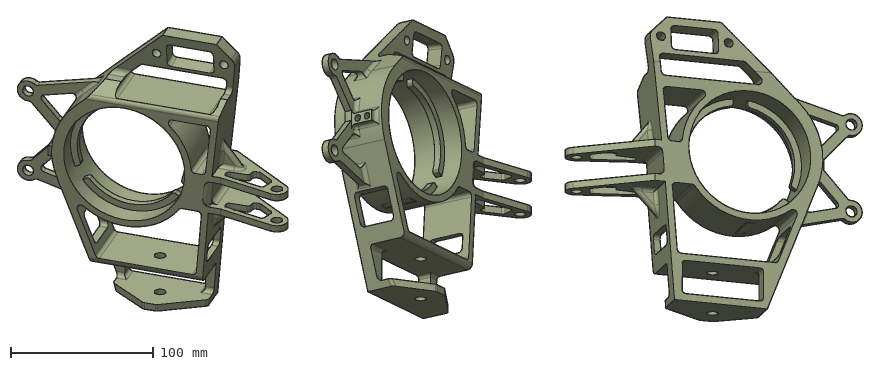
import cadquery as cq
import math


DEPTH = 40.0
TOP_Z = 94.6
HEIGHT = 209.0
BOTTOM_Z = TOP_Z - HEIGHT
BACK_R = 54.0
TOP_LEFT_X = 20.0
TOP_RIGHT_X = 60.1
BOTTOM_LEFT_X = -13.0
BOTTOM_RIGHT_X = 55.7
RIGHT_KNEE = (63.7, -12.9)
RIGHT_UPPER_SLOPE = 0.1024
TOP_CORNER_R = 8.0

TILT = math.radians(6.0)
TILT_START_Z = 59.8
PLATE_T = 12.0
SHOULDER_Y = -22.8
SHOULDER_Z = 55.8
SHOULDER_FRONT_Z = 49.3
SHOULDER_R = 4.0
FRONT_TOP_R = 3.3
BLOCK_BOTTOM_Z = -84.7
BLOCK_BOTTOM_R = 4.0
SPINE_T = 10.0
SPINE_TOP_R = 2.5
SPINE_FOOT_R = 3.5
FOOT_T = 5.3

BORE_R = 45.0
LIP_R = 40.0
LIP_FRONT_Y = -25.5
LIP_T = 5.0
LIP_SLOT_W = 11.0
LIP_SLOT_ANGLES = (90, 210, 330)
LIP_TIP_R = 2.0

MOUNT_X = 40.0
MOUNT_Z = 78.2
MOUNT_PITCH = 50.0
MOUNT_HOLE_D = 6.4
MOUNT_WINDOW_W = 34.8
MOUNT_WINDOW_H = 18.4
MOUNT_WINDOW_R = 3.0

WALL = 5.0
LEFT_WALL = 5.7
POCKET_R = 3.0
RING_R = 50.0
SHELF_Z = 50.3
SHELF_T = 8.2
UPPER_WINDOW_TOP_Z = 66.6
UPPER_WINDOW_TOP_X = 3.4
FOOT_WINDOW_X = (-10.0, 49.9)
FOOT_WINDOW_R = 2.5

EAR_T = 5.1
UPPER_EAR_TOP = 2.3
LOWER_EAR_TOP = -22.9
EAR_HOLE = (114.2, -42.0)
EAR_HOLE_D = 8.0
EAR_R = 7.98
EAR_ROOT_X = 58.0
EAR_REAR_X = 70.1
EAR_FRONT_X = 71.6
EAR_WINDOW = (
    (73.0, -30.2), (89.4, -29.7), (90.6, -23.6), (95.5, -23.6),
    (107.7, -32.6), (104.0, -43.2), (73.0, -35.8),
)
EAR_WINDOW_R = 2.3
EAR_ROOT_R = 4.0
FRONT_EDGE_R = 5.0

GUSSET_Y = -22.0
GUSSET_T = 6.0
GUSSET_H = 19.8
GUSSET_L = 17.8
GUSSET_EDGE_R = 2.95
GUSSET_ROOT_R = 2.9

ARM_EYE_X = -79.3
ARM_EYE_Z = 32.0
ARM_EYE_R = 8.0
ARM_HOLE_D = 8.0
ARM_BAND = 8.0
ARM_OUTER_ANGLE = 14.5
ARM_INNER_ANGLE = -47.5
ARM_OUTER_LENGTH = 62.0
ARM_INNER_LENGTH = 42.0
ARM_REAR_Y = -12.4
ARM_FRONT_Y = -17.6
ARM_NECK_R = 3.0
ARM_CROTCH_R = 2.5
ARM_WEB_X = -58.8
ARM_WEB_H = 7.8
ROOT_R = 3.0

BOSS_X = -58.4
BOSS_Z = -2.8
BOSS_W = 8.0
BOSS_FRONT_Y = -34.7
BOSS_HOLES_Y = (-22.8, -30.7)
BOSS_HOLE_D = 4.6
BOSS_HOLE_DEPTH = 10.0

SIDE_WINDOW_Y = (-34.0, -5.7)
SIDE_WINDOW_LEFT_Z = (-72.5, -49.4)
SIDE_WINDOW_RIGHT_Z = (-72.0, -57.3)
SIDE_WINDOW_R = 3.0
FOOT_SHOULDER_Y = -21.0
FOOT_NOSE_X = (14.0, 24.0)
FOOT_CORNER_R = 3.0
BOLT_XY = (20.4, -22.0)
BOLT_D = 8.0

OVER = 1.0
FAR = 150.0
EMBED = 4.0


def tangent_point(center, radius, point, side):
    """Touch point of a line from point to a circle; side +1 or -1 picks the line."""
    dx = point[0] - center[0]
    dy = point[1] - center[1]
    angle = math.atan2(dy, dx) + side * math.acos(radius / math.hypot(dx, dy))
    return (center[0] + radius * math.cos(angle), center[1] + radius * math.sin(angle))


LEFT_UPPER_TANGENT = tangent_point((0, 0), BACK_R, (TOP_LEFT_X, TOP_Z), 1)
LEFT_LOWER_TANGENT = tangent_point((0, 0), BACK_R, (BOTTOM_LEFT_X, BOTTOM_Z), -1)
LEFT_UPPER_SLOPE = (TOP_LEFT_X - LEFT_UPPER_TANGENT[0]) / (TOP_Z - LEFT_UPPER_TANGENT[1])
LEFT_LOWER_SLOPE = (BOTTOM_LEFT_X - LEFT_LOWER_TANGENT[0]) / (BOTTOM_Z - LEFT_LOWER_TANGENT[1])
RIGHT_LOWER_SLOPE = (RIGHT_KNEE[0] - BOTTOM_RIGHT_X) / (RIGHT_KNEE[1] - BOTTOM_Z)

FOOT_TOP_Z = BOTTOM_Z + FOOT_T
UPPER_EAR_BOTTOM = UPPER_EAR_TOP - EAR_T
LOWER_EAR_BOTTOM = LOWER_EAR_TOP - EAR_T


def left_x(z):
    """X of the lower left wall's outer face at height z."""
    return BOTTOM_LEFT_X + LEFT_LOWER_SLOPE * (z - BOTTOM_Z)


def right_x(z):
    """X of the right wall's outer face at height z."""
    slope = RIGHT_UPPER_SLOPE if z > RIGHT_KNEE[1] else RIGHT_LOWER_SLOPE
    return RIGHT_KNEE[0] + slope * (z - RIGHT_KNEE[1])


def nearest(x, y, z):
    return cq.NearestToPointSelector((x, y, z))


def prism_y(points, y_front=-DEPTH - OVER, y_rear=OVER):
    """Prism along Y from an outline of (x, z) points."""
    plane = cq.Workplane("XZ", origin=(0, y_rear, 0))
    return plane.polyline(points).close().extrude(y_rear - y_front)


def cylinder_y(radius, y_front=-DEPTH - OVER, y_rear=OVER, x=0.0, z=0.0):
    plane = cq.Workplane("XZ", origin=(x, y_rear, z))
    return plane.circle(radius).extrude(y_rear - y_front)


def box(x, y, z):
    """Box spanning the (low, high) pairs x, y and z."""
    block = cq.Workplane("XY").box(x[1] - x[0], y[1] - y[0], z[1] - z[0], centered=False)
    return block.translate((x[0], y[0], z[0]))


def blend(base, added, radius):
    """Join two solids and fillet the edges where their surfaces meet."""
    tolerance = 1e-3
    shells = [base.shells().val(), added.shells().val()]
    joined = base.union(added)

    def on_both(edge):
        middle = cq.Vertex.makeVertex(*edge.positionAt(0.5).toTuple())
        return all(shell.distance(middle) < tolerance for shell in shells)

    seam = [edge for edge in joined.edges().vals() if on_both(edge)]
    return joined.newObject(seam).fillet(radius)


def make_outline():
    """Body outline extruded over the full depth."""
    corner_drop = (right_x(TOP_Z) - TOP_RIGHT_X) / (1 + RIGHT_UPPER_SLOPE)
    corner_z = TOP_Z - corner_drop
    corner_x = right_x(corner_z)
    outline = (
        cq.Workplane("XZ")
        .moveTo(BOTTOM_LEFT_X, BOTTOM_Z)
        .lineTo(*LEFT_LOWER_TANGENT)
        .threePointArc((-BACK_R, 0), LEFT_UPPER_TANGENT)
        .lineTo(TOP_LEFT_X, TOP_Z)
        .lineTo(TOP_RIGHT_X, TOP_Z)
        .lineTo(corner_x, corner_z)
        .lineTo(*RIGHT_KNEE)
        .lineTo(BOTTOM_RIGHT_X, BOTTOM_Z)
        .close()
        .extrude(DEPTH)
    )
    return outline.edges(nearest(corner_x, -DEPTH / 2, corner_z)).fillet(TOP_CORNER_R)


def make_side_profile():
    """Side profile extruded across the whole width."""
    lean = math.tan(TILT)
    plate_depth = PLATE_T / math.cos(TILT)
    top_y = -lean * (TOP_Z - TILT_START_Z)
    plate_foot_y = -plate_depth - lean * (SHOULDER_Z - TILT_START_Z)
    profile = (
        cq.Workplane("YZ", origin=(-FAR, 0, 0))
        .polyline([
            (0, BOTTOM_Z), (0, TILT_START_Z), (top_y, TOP_Z), (top_y - plate_depth, TOP_Z),
            (plate_foot_y, SHOULDER_Z), (SHOULDER_Y, SHOULDER_Z), (-DEPTH, SHOULDER_FRONT_Z),
            (-DEPTH, BLOCK_BOTTOM_Z), (-SPINE_T, BLOCK_BOTTOM_Z), (-SPINE_T, FOOT_TOP_Z),
            (-DEPTH, FOOT_TOP_Z), (-DEPTH, BOTTOM_Z),
        ])
        .close()
        .extrude(2 * FAR)
    )
    rounded_corners = (
        (plate_foot_y, SHOULDER_Z, SHOULDER_R),
        (-DEPTH, SHOULDER_FRONT_Z, FRONT_TOP_R),
        (-DEPTH, BLOCK_BOTTOM_Z, BLOCK_BOTTOM_R),
        (-SPINE_T, BLOCK_BOTTOM_Z, SPINE_TOP_R),
        (-SPINE_T, FOOT_TOP_Z, SPINE_FOOT_R),
    )
    for y, z, radius in rounded_corners:
        profile = profile.edges(nearest(0, y, z)).fillet(radius)
    return profile


def make_arm():
    """Upper arm: an eye and two bands that spread from it into the body."""
    middle_y = (ARM_FRONT_Y + ARM_REAR_Y) / 2

    def band(angle, length):
        bar = box((0, length), (ARM_FRONT_Y, ARM_REAR_Y), (-ARM_BAND / 2, ARM_BAND / 2))
        return bar.rotate((0, 0, 0), (0, 1, 0), -angle).translate((ARM_EYE_X, 0, ARM_EYE_Z))

    def around_eye(distance, angle):
        turn = math.radians(angle)
        x = ARM_EYE_X + distance * math.cos(turn)
        z = ARM_EYE_Z + distance * math.sin(turn)
        return nearest(x, middle_y, z)

    arm = band(ARM_OUTER_ANGLE, ARM_OUTER_LENGTH).union(band(ARM_INNER_ANGLE, ARM_INNER_LENGTH))
    half_spread = (ARM_OUTER_ANGLE - ARM_INNER_ANGLE) / 2
    crotch = ARM_BAND / 2 / math.sin(math.radians(half_spread))
    crotch_edge = around_eye(crotch, ARM_INNER_ANGLE + half_spread)
    arm = arm.edges("|Y").edges(crotch_edge).fillet(ARM_CROTCH_R)

    arm = arm.union(cylinder_y(ARM_EYE_R, ARM_FRONT_Y, ARM_REAR_Y, ARM_EYE_X, ARM_EYE_Z))
    neck = math.degrees(math.asin(ARM_BAND / 2 / ARM_EYE_R))
    for angle in (ARM_OUTER_ANGLE + neck, ARM_INNER_ANGLE - neck):
        arm = arm.edges("|Y").edges(around_eye(ARM_EYE_R, angle)).fillet(ARM_NECK_R)
    return arm.cut(cylinder_y(ARM_HOLE_D / 2, x=ARM_EYE_X, z=ARM_EYE_Z))


def make_arms_and_boss():
    """Mirrored pair of arms, the web joining them and the boss in front of the web."""
    inside_x = -BACK_R + EMBED
    arm_y = (ARM_FRONT_Y, ARM_REAR_Y)
    web = box((ARM_WEB_X, inside_x), arm_y, (-ARM_WEB_H / 2, ARM_WEB_H / 2))
    arms = make_arm().union(make_arm().mirror("XY")).union(web)
    boss_z = (BOSS_Z - BOSS_W / 2, BOSS_Z + BOSS_W / 2)
    boss = box((BOSS_X, inside_x), (BOSS_FRONT_Y, ARM_FRONT_Y), boss_z)
    joined = arms.union(boss)
    for z in boss_z:
        corner = nearest((BOSS_X + inside_x) / 2, ARM_FRONT_Y, z)
        joined = joined.edges("|X").edges(corner).fillet(ROOT_R)
    return joined


def drill_boss(body):
    for y in BOSS_HOLES_Y:
        plane = cq.Workplane("YZ", origin=(BOSS_X, y, BOSS_Z))
        body = body.cut(plane.circle(BOSS_HOLE_D / 2).extrude(BOSS_HOLE_DEPTH))
    return body


def cut_pockets(body):
    """Pockets between the ring around the bore and the outer walls."""
    ring = cylinder_y(RING_R, -DEPTH - 2 * OVER, 2 * OVER)
    roof_z = SHELF_Z - SHELF_T
    floor_z = BLOCK_BOTTOM_Z + WALL
    upper = [
        (0, roof_z), (right_x(roof_z) - WALL, roof_z),
        (right_x(UPPER_EAR_TOP) - WALL, UPPER_EAR_TOP), (0, UPPER_EAR_TOP),
    ]
    left_offset = LEFT_WALL / math.cos(math.atan(LEFT_LOWER_SLOPE))
    lower = [
        (left_x(LOWER_EAR_BOTTOM) + left_offset, LOWER_EAR_BOTTOM),
        (right_x(LOWER_EAR_BOTTOM) - WALL, LOWER_EAR_BOTTOM),
        (right_x(floor_z) - WALL, floor_z),
        (left_x(floor_z) + left_offset, floor_z),
    ]
    for points in (upper, lower):
        body = body.cut(prism_y(points).cut(ring).edges("|Y").fillet(POCKET_R))
    return body


def cut_upper_window(body):
    """Opening through the top plate that leaves a flat shelf over the bore."""
    drop = UPPER_WINDOW_TOP_Z - SHELF_Z
    points = [
        (UPPER_WINDOW_TOP_X - LEFT_UPPER_SLOPE * drop, SHELF_Z),
        (UPPER_WINDOW_TOP_X, UPPER_WINDOW_TOP_Z),
        (right_x(UPPER_WINDOW_TOP_Z) - WALL, UPPER_WINDOW_TOP_Z),
        (right_x(SHELF_Z) - WALL, SHELF_Z),
    ]
    return body.cut(prism_y(points).edges("|Y").fillet(POCKET_R))


def cut_foot_window(body):
    depth = (-DEPTH - OVER, OVER)
    window = box(FOOT_WINDOW_X, depth, (FOOT_TOP_Z, BLOCK_BOTTOM_Z))
    return body.cut(window.edges("|Y").fillet(FOOT_WINDOW_R))


def cut_mount(body):
    """Window and two holes square to the leaning top plate."""
    front_y = -PLATE_T / math.cos(TILT) - math.tan(TILT) * (MOUNT_Z - TILT_START_Z)
    square_to_plate = (0, -math.cos(TILT), -math.sin(TILT))
    plane = cq.Plane(origin=(MOUNT_X, front_y, MOUNT_Z), xDir=(1, 0, 0), normal=square_to_plate)
    reach = PLATE_T + 2 * OVER
    window = cq.Sketch().rect(MOUNT_WINDOW_W, MOUNT_WINDOW_H).vertices().fillet(MOUNT_WINDOW_R)
    body = body.cut(cq.Workplane(plane).placeSketch(window).extrude(reach, both=True))
    holes = cq.Workplane(plane).rarray(MOUNT_PITCH, 1, 2, 1).circle(MOUNT_HOLE_D / 2)
    return body.cut(holes.extrude(reach, both=True))


def make_ear(top_z):
    """Pointed plate with a hole at its tip and a lightening window."""
    plane = cq.Workplane("XY", origin=(0, 0, top_z - EAR_T))
    rear_touch = tangent_point(EAR_HOLE, EAR_R, (EAR_REAR_X, 0), -1)
    front_touch = tangent_point(EAR_HOLE, EAR_R, (EAR_FRONT_X, -DEPTH), 1)
    ear = (
        plane.moveTo(EAR_ROOT_X, 0)
        .lineTo(EAR_REAR_X, 0)
        .lineTo(*rear_touch)
        .threePointArc((EAR_HOLE[0] + EAR_R, EAR_HOLE[1]), front_touch)
        .lineTo(EAR_FRONT_X, -DEPTH)
        .lineTo(EAR_ROOT_X, -DEPTH)
        .close()
        .extrude(EAR_T)
    )
    window = plane.polyline(EAR_WINDOW).close().extrude(EAR_T).edges("|Z").fillet(EAR_WINDOW_R)
    hole = plane.center(*EAR_HOLE).circle(EAR_HOLE_D / 2).extrude(EAR_T)
    return ear.cut(window).cut(hole)


def shape_ear_gap(body):
    """Round the corners between the ears and the wall, and the wall's front edge."""
    def gap(inset, corner_r):
        points = [
            (right_x(LOWER_EAR_TOP) - inset, LOWER_EAR_TOP),
            (right_x(UPPER_EAR_BOTTOM) - inset, UPPER_EAR_BOTTOM),
            (FAR, UPPER_EAR_BOTTOM),
            (FAR, LOWER_EAR_TOP),
        ]
        return prism_y(points).edges("|Y and (not >X)").fillet(corner_r)

    ear_gap_z = (LOWER_EAR_TOP, UPPER_EAR_BOTTOM)
    filled_x = (EAR_ROOT_X, right_x(UPPER_EAR_BOTTOM) + EAR_ROOT_R)
    filler = box(filled_x, (-DEPTH, 0), ear_gap_z)
    body = body.union(filler.cut(gap(0, EAR_ROOT_R)))

    bottom_x = right_x(LOWER_EAR_TOP)
    top_x = right_x(UPPER_EAR_BOTTOM)
    roll_y = -DEPTH + FRONT_EDGE_R
    axis = cq.Vector(top_x - bottom_x, 0, UPPER_EAR_BOTTOM - LOWER_EAR_TOP)
    start = cq.Vector(bottom_x - FRONT_EDGE_R, roll_y, LOWER_EAR_TOP)
    roll = cq.Solid.makeCylinder(FRONT_EDGE_R, 3 * axis.Length, start - axis, axis)
    edge_stock = gap(FRONT_EDGE_R, FRONT_EDGE_R).intersect(box(filled_x, (-DEPTH, roll_y), ear_gap_z))
    return body.cut(edge_stock.cut(cq.Workplane(roll)))


def make_gusset(ear_z, direction):
    """Triangular rib between an ear face and the right wall; direction is +1 up, -1 down."""
    wall_z = ear_z + direction * GUSSET_H
    wall_x = right_x(wall_z)
    tip_x = right_x(ear_z) + GUSSET_L
    run = (tip_x - wall_x) / (ear_z - wall_z)
    root_x = right_x(ear_z) - EMBED / 2
    root_z = ear_z - direction * EMBED / 2
    points = [
        (root_x, root_z),
        (tip_x + run * (root_z - ear_z), root_z),
        (root_x, wall_z + (root_x - wall_x) / run),
    ]
    faces_y = (GUSSET_Y - GUSSET_T / 2, GUSSET_Y + GUSSET_T / 2)
    rib = prism_y(points, *faces_y)
    for y in faces_y:
        sloped_edge = nearest((tip_x + wall_x) / 2, y, (ear_z + wall_z) / 2)
        rib = rib.edges(sloped_edge).fillet(GUSSET_EDGE_R)
    return rib


def make_lip():
    """Inner lip of the bore, interrupted by straight slots."""
    rear_y = LIP_FRONT_Y + LIP_T
    lip = cylinder_y(BORE_R + OVER, LIP_FRONT_Y, rear_y).cut(cylinder_y(LIP_R))
    for angle in LIP_SLOT_ANGLES:
        slot = box((0, FAR), (LIP_FRONT_Y, rear_y), (-LIP_SLOT_W / 2, LIP_SLOT_W / 2))
        lip = lip.cut(slot.rotate((0, 0, 0), (0, 1, 0), -angle))
    tips = []
    for edge in lip.edges("|Y").vals():
        middle = edge.Center()
        if math.hypot(middle.x, middle.z) < LIP_R + OVER:
            tips.append(edge)
    return lip.newObject(tips).fillet(LIP_TIP_R)


def cut_side_window(body):
    """Aligned windows through the lower left and lower right walls."""
    for x, z in (((-FAR, 0), SIDE_WINDOW_LEFT_Z), ((MOUNT_X, FAR), SIDE_WINDOW_RIGHT_Z)):
        body = body.cut(box(x, SIDE_WINDOW_Y, z).edges("|X").fillet(SIDE_WINDOW_R))
    return body


def shape_foot(body):
    """Trim the foot to a blunt nose, round its corners and drill the bolt hole."""
    middle_z = (BOTTOM_Z + FOOT_TOP_Z) / 2
    left, right = left_x(middle_z), right_x(middle_z)
    for wall_x, nose_x in zip((left, right), FOOT_NOSE_X):
        outer = (2 * wall_x - nose_x, 2 * FOOT_SHOULDER_Y + DEPTH)
        plane = cq.Workplane("XY", origin=(0, 0, BOTTOM_Z))
        trim = plane.polyline([(nose_x, -DEPTH), outer, (outer[0], -DEPTH)]).close()
        body = body.cut(trim.extrude(FOOT_T))
        for x, y in ((wall_x, FOOT_SHOULDER_Y), (nose_x, -DEPTH)):
            body = body.edges(nearest(x, y, middle_z)).fillet(FOOT_CORNER_R)
    bolt_length = BLOCK_BOTTOM_Z + WALL + OVER - BOTTOM_Z
    bolt = cq.Workplane("XY", origin=(*BOLT_XY, BOTTOM_Z)).circle(BOLT_D / 2).extrude(bolt_length)
    return body.cut(bolt)


body = make_outline().intersect(make_side_profile())
body = blend(body, make_arms_and_boss(), ROOT_R)
body = drill_boss(body)
body = cut_pockets(body)
body = cut_upper_window(body)
body = cut_foot_window(body)
body = cut_mount(body)
body = body.union(make_ear(UPPER_EAR_TOP)).union(make_ear(LOWER_EAR_TOP))
body = shape_ear_gap(body)
body = blend(body, make_gusset(UPPER_EAR_TOP, 1), GUSSET_ROOT_R)
body = blend(body, make_gusset(LOWER_EAR_BOTTOM, -1), GUSSET_ROOT_R)
body = body.cut(cylinder_y(BORE_R)).union(make_lip())
body = cut_side_window(body)
result = shape_foot(body)